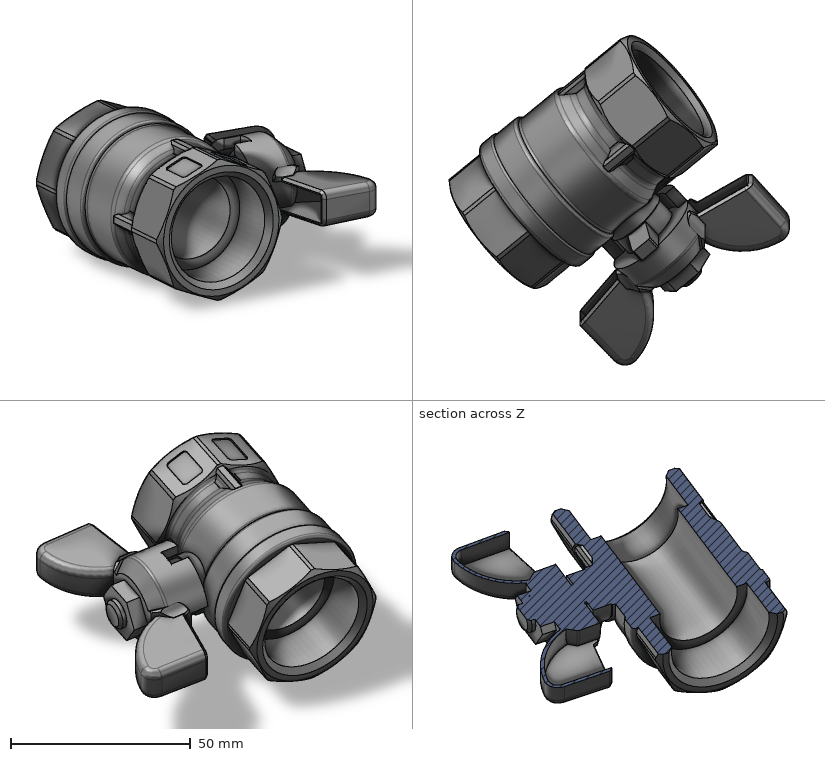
import cadquery as cq
import math


TOTAL_HEIGHT = 74.85

HALF_LENGTH = 65.5 / 2
BODY_R = 20.2
NECK_R = 17.9
OCTAGON_SIDES = 8
OCTAGON_CORNER_R = 20.5
OCTAGON_APOTHEM = 19.15
END_FACE_R = 18.85
END_CHAMFER = 1.1
COLLAR_R = 43.5 / 2
COLLAR_START = -19.9
COLLAR_END = -14.45
COLLAR_LEFT_ROUND = 1.05
COLLAR_RIGHT_ROUND = 0.7
SHOULDER_R = 21.25
SHOULDER_END = -7.2
BODY_START = -5.25
BODY_END = 7.0
NECK_START = 12.7
NECK_END = 15.65
SHOULDER_ROUND_MID = (-6.65, 21.1)
SHOULDER_ROUND_END = (-6.3, 20.7)
SHOULDER_FOOT_START = (-6.1, 20.4)
SHOULDER_FOOT_MID = (-5.7, 20.3)
NECK_ROUND_MID = (7.8, 20.05)
NECK_CONE_START = (8.4, 19.75)
NECK_CONE_END = (11.0, 18.4)
NECK_LEFT_MID = (11.8, 18.05)
NECK_RIGHT_MID = (16.6, 18.3)
RIGHT_OCTAGON_START = 17.0
RIGHT_OCTAGON_FULL = 18.6

BORE_R = 12.1
THREAD_R = 15.3
THREAD_MOUTH_R = 17.0
THREAD_MOUTH_DEPTH = 1.7
THREAD_DEPTH = 14.9

RIB_TOP_R = 20.0
RIB_TOP_HALF = 1.0
RIB_EDGE_HALF = 1.8
RIB_EDGE_R = 19.15
RIB_FOOT_HALF = 3.3
RIB_FOOT_R = 17.6
RIB_FOOT_MID = (2.25, 18.05)
RIB_START = 8.2
RIB_COUNT = 4

PAD_LENGTH = 10.1
PAD_WIDTH = 6.8
PAD_DEPTH = 0.45
PAD_CORNER_R = 1.1
PAD_CENTER_X = 24.9

BOSS_R = 8.75
BOSS_TOP = 22.15
STEM_R = 8.2
STEM_TOP = 27.9
SPINDLE_R = 4.5
LUG_WIDTH = 6.4
LUG_REACH = 16.85
LUG_BOTTOM = 22.45
LUG_TIP_BOTTOM = 24.4
LUG_TIP_CHAMFER = 0.45

HUB_R = 13.6
HUB_INNER_R = 10.5
HUB_BOTTOM = 23.0
HUB_FLOOR = 28.45
HUB_CONE_START = 35.3
HUB_TOP = 39.5
HUB_TOP_R = 10.1
HUB_EDGE_R = 1.2
NOTCH_WIDTH = 5.55
CUTAWAY_TOP_Z = 3.0

WING_TIP_X = 31.95
WING_TIP_TOP_X = 31.65
WING_TIP_BOTTOM = 34.1
WING_AXIS_BOTTOM = 28.6
WING_TOP = TOTAL_HEIGHT - COLLAR_R
WING_CORNER_R = 4.05
WING_ARC_R = 21.3
WING_ARC_CENTER_X = 30.5
WING_ARC_MID_ANGLE = math.radians(50)
WING_ARC_START_Y = 35.9
WING_CORNER_X = WING_TIP_TOP_X - WING_CORNER_R
WING_ARC_CENTER = (
    WING_ARC_CENTER_X,
    WING_TOP - WING_CORNER_R
    - math.sqrt((WING_ARC_R - WING_CORNER_R) ** 2 - (WING_ARC_CENTER_X - WING_CORNER_X) ** 2),
)
WING_BASE_HALF = 5.4
WING_TOP_HALF = 5.0
WING_EDGE_R = 2.25
WING_RIM_CHAMFER = 0.8
WING_WALL = 1.2
WING_CUT_MARGIN = 3.75
WING_BOTTOM_SLOPE = (WING_TIP_BOTTOM - WING_AXIS_BOTTOM) / WING_TIP_X

FLARE_R = 4.1
FLARE_WING_X = 14.5
FLARE_HALF = 7.7
FLARE_WING_TOP = 34.8
FLARE_TOP_HALF = 6.0
FLARE_WIDE_BOTTOM = 32.9
FLARE_KNEE = (30.55, 6.6)
FLARE_BOTTOM = 29.1
FLARE_BOTTOM_HALF = 4.5

NUT_CORNER_R = 8.3
NUT_TOP = 43.85
STUD_R = 4.3
STUD_TOP = 45.95
STUD_CHAMFER = 0.9


def turned_x(points):
    """Solid turned about X from (x, radius) points, closed down to the axis."""
    outline = [(points[0][0], 0)] + points + [(points[-1][0], 0)]
    return cq.Workplane("XY").polyline(outline).close().revolve(360, (0, 0, 0), (1, 0, 0))


def cylinder_y(radius, bottom, top):
    return cq.Workplane("XZ", origin=(0, bottom, 0)).circle(radius).extrude(bottom - top)


def octagon(start, end):
    corner_diameter = 2 * OCTAGON_APOTHEM / math.cos(math.pi / OCTAGON_SIDES)
    return cq.Workplane("YZ", origin=(start, 0, 0)).polygon(OCTAGON_SIDES, corner_diameter).extrude(end - start)


def body_shell():
    """Octagon ends, collar and turned middle of the pipe body, still without the bore."""
    left = turned_x([
        (-HALF_LENGTH, END_FACE_R),
        (-HALF_LENGTH + END_CHAMFER, OCTAGON_CORNER_R),
        (COLLAR_START, OCTAGON_CORNER_R),
    ]).intersect(octagon(-HALF_LENGTH, COLLAR_START))
    right = turned_x([
        (RIGHT_OCTAGON_START, NECK_R),
        (RIGHT_OCTAGON_START, END_FACE_R),
        (RIGHT_OCTAGON_FULL, OCTAGON_CORNER_R),
        (HALF_LENGTH - END_CHAMFER, OCTAGON_CORNER_R),
        (HALF_LENGTH, END_FACE_R),
    ]).intersect(octagon(RIGHT_OCTAGON_START, HALF_LENGTH))
    collar = turned_x([(COLLAR_START, COLLAR_R), (COLLAR_END, COLLAR_R)])
    collar = collar.faces("<X").edges().fillet(COLLAR_LEFT_ROUND)
    collar = collar.faces(">X").edges().fillet(COLLAR_RIGHT_ROUND)
    middle_start = (COLLAR_START + COLLAR_END) / 2
    middle = (
        cq.Workplane("XY")
        .moveTo(middle_start, 0)
        .lineTo(middle_start, SHOULDER_R)
        .lineTo(SHOULDER_END, SHOULDER_R)
        .threePointArc(SHOULDER_ROUND_MID, SHOULDER_ROUND_END)
        .lineTo(*SHOULDER_FOOT_START)
        .threePointArc(SHOULDER_FOOT_MID, (BODY_START, BODY_R))
        .lineTo(BODY_END, BODY_R)
        .threePointArc(NECK_ROUND_MID, NECK_CONE_START)
        .lineTo(*NECK_CONE_END)
        .threePointArc(NECK_LEFT_MID, (NECK_START, NECK_R))
        .lineTo(NECK_END, NECK_R)
        .threePointArc(NECK_RIGHT_MID, (RIGHT_OCTAGON_START, END_FACE_R))
        .lineTo(RIGHT_OCTAGON_START, 0)
        .close()
        .revolve(360, (0, 0, 0), (1, 0, 0))
    )
    return left.union(collar).union(middle).union(right)


def ribs():
    """Ribs along X that bridge the neck, each with bevelled edges and a concave foot."""
    rib = (
        cq.Workplane("YZ", origin=(RIB_START, 0, 0))
        .moveTo(0, 0)
        .lineTo(RIB_FOOT_HALF, RIB_FOOT_R)
        .threePointArc(RIB_FOOT_MID, (RIB_EDGE_HALF, RIB_EDGE_R))
        .lineTo(RIB_TOP_HALF, RIB_TOP_R)
        .lineTo(-RIB_TOP_HALF, RIB_TOP_R)
        .lineTo(-RIB_EDGE_HALF, RIB_EDGE_R)
        .threePointArc((-RIB_FOOT_MID[0], RIB_FOOT_MID[1]), (-RIB_FOOT_HALF, RIB_FOOT_R))
        .close()
        .extrude(RIGHT_OCTAGON_FULL - RIB_START)
    )
    group = rib
    for i in range(1, RIB_COUNT):
        group = group.union(rib.rotate((0, 0, 0), (1, 0, 0), i * 360 / RIB_COUNT))
    return group


def pads():
    """Shallow label recesses on the two octagon flats that face +Z."""
    pad = (
        cq.Workplane("XY", origin=(PAD_CENTER_X, 0, OCTAGON_APOTHEM - PAD_DEPTH))
        .rect(PAD_LENGTH, PAD_WIDTH)
        .extrude(2 * PAD_DEPTH)
        .edges("|Z")
        .fillet(PAD_CORNER_R)
    )
    axis = ((0, 0, 0), (1, 0, 0))
    tilt = 180 / OCTAGON_SIDES
    return pad.rotate(*axis, tilt).union(pad.rotate(*axis, -tilt))


def bore():
    """Through bore with a wider thread bore and a conical mouth at both ends."""
    mouth = HALF_LENGTH - THREAD_MOUTH_DEPTH
    seat = HALF_LENGTH - THREAD_DEPTH
    return turned_x([
        (-HALF_LENGTH, THREAD_MOUTH_R),
        (-mouth, THREAD_R),
        (-seat, THREAD_R),
        (-seat, BORE_R),
        (seat, BORE_R),
        (seat, THREAD_R),
        (mouth, THREAD_R),
        (HALF_LENGTH, THREAD_MOUTH_R),
    ])


def stem():
    """Stem boss, the stem with its stop lug towards -Z, and the spindle up to the nut."""
    lug = (
        cq.Workplane("YZ")
        .polyline([
            (STEM_TOP, 0),
            (STEM_TOP, -LUG_REACH),
            (LUG_TIP_BOTTOM, -LUG_REACH),
            (LUG_BOTTOM, -STEM_R),
            (LUG_BOTTOM, 0),
        ])
        .close()
        .extrude(LUG_WIDTH / 2, both=True)
        .faces("<Z")
        .edges("|Y")
        .chamfer(LUG_TIP_CHAMFER)
    )
    return (
        cylinder_y(BOSS_R, 0, BOSS_TOP)
        .union(cylinder_y(STEM_R, 0, STEM_TOP))
        .union(cylinder_y(SPINDLE_R, 0, HUB_TOP))
        .union(lug)
    )


def wing_outline(inset, bottom_drop):
    """Flat blade of the right-hand wing, shrunk by inset except at its bottom edge."""
    tip_x = WING_TIP_X - inset
    arc_r = WING_ARC_R - inset
    tip_top_x = WING_TIP_TOP_X - inset
    arc_end_y = WING_ARC_CENTER[1] + math.sqrt(arc_r**2 - (tip_top_x - WING_ARC_CENTER[0]) ** 2)
    arc_start_y = WING_ARC_START_Y - inset
    arc_start_x = WING_ARC_CENTER[0] - math.sqrt(arc_r**2 - (arc_start_y - WING_ARC_CENTER[1]) ** 2)
    arc_mid = (
        WING_ARC_CENTER[0] - arc_r * math.cos(WING_ARC_MID_ANGLE),
        WING_ARC_CENTER[1] + arc_r * math.sin(WING_ARC_MID_ANGLE),
    )
    return (
        cq.Workplane("XY")
        .moveTo(0, WING_AXIS_BOTTOM - bottom_drop)
        .lineTo(tip_x, WING_TIP_BOTTOM - bottom_drop)
        .lineTo(tip_top_x, arc_end_y)
        .threePointArc(arc_mid, (arc_start_x, arc_start_y))
        .lineTo(0, arc_start_y)
        .close()
        .extrude(WING_BASE_HALF * 2, both=True)
        .edges(cq.selectors.NearestToPointSelector((tip_top_x, arc_end_y, 0)))
        .fillet(WING_CORNER_R - inset)
    )


def wing_taper(inset):
    """Wedge along +X that gives the wing its draft towards the top."""
    base = WING_BASE_HALF - inset
    top = WING_TOP_HALF - inset
    below = WING_AXIS_BOTTOM - WING_CUT_MARGIN
    above = WING_TOP + WING_CUT_MARGIN
    return (
        cq.Workplane("YZ")
        .polyline([(below, -base), (above, -top), (above, top), (below, base)])
        .close()
        .extrude(WING_TIP_X)
    )


def solid_wing():
    blade = wing_outline(0, 0).intersect(wing_taper(0))
    above_bottom = cq.selectors.BoxSelector(
        (WING_ARC_CENTER[0] - WING_ARC_R, WING_TIP_BOTTOM + WING_RIM_CHAMFER, -2 * WING_BASE_HALF),
        (2 * WING_TIP_X, 2 * WING_TOP, 2 * WING_BASE_HALF),
    )
    sides = blade.faces("<Z or >Z").edges(above_bottom)
    return sides.fillet(WING_EDGE_R).faces("<Y").chamfer(WING_RIM_CHAMFER)


def wing_pocket():
    """Hollow of the wing, open at the bottom; the hub closes its inner end."""
    return wing_outline(WING_WALL, WING_CUT_MARGIN).intersect(wing_taper(WING_WALL))


def both_sides(right_half):
    return right_half.union(right_half.mirror("YZ"))


def hub():
    """Handle hub with a conical top, the edge below the cone rounded."""
    return (
        cq.Workplane("XY")
        .polyline([
            (0, HUB_BOTTOM),
            (HUB_R, HUB_BOTTOM),
            (HUB_R, HUB_CONE_START),
            (HUB_TOP_R, HUB_TOP),
            (0, HUB_TOP),
        ])
        .close()
        .revolve(360, (0, 0, 0), (0, 1, 0))
        .edges(cq.selectors.NearestToPointSelector((0, HUB_CONE_START, 0)))
        .fillet(HUB_EDGE_R)
    )


def hub_cuts():
    """Round cavity, notch towards +Z and the cut-away lower side of the hub skirt."""
    height = HUB_FLOOR - HUB_BOTTOM
    notch = (
        cq.Workplane("XY")
        .box(NOTCH_WIDTH, height, HUB_R, centered=(True, False, False))
        .translate((0, HUB_BOTTOM, 0))
    )
    cutaway = (
        cq.Workplane("XY")
        .box(2 * HUB_R, height, 2 * HUB_R, centered=(True, False, False))
        .translate((0, HUB_BOTTOM, CUTAWAY_TOP_Z - 2 * HUB_R))
    )
    return cylinder_y(HUB_INNER_R, HUB_BOTTOM, HUB_FLOOR).union(notch).union(cutaway)


def wing_flare():
    """Concave blend that widens the wing where it meets the hub, clipped to the hub's height."""
    center_z = WING_BASE_HALF + FLARE_R
    center_x = math.sqrt((HUB_R + FLARE_R) ** 2 - center_z**2)
    height = HUB_TOP - FLARE_BOTTOM
    plan = (
        cq.Workplane("XZ", origin=(0, HUB_TOP, 0))
        .polyline([(0, 0), (center_x, -center_z), (center_x, center_z)])
        .close()
        .extrude(height)
    )
    hollows = (
        cq.Workplane("XZ", origin=(0, HUB_TOP, 0))
        .pushPoints([(center_x, -center_z), (center_x, center_z)])
        .circle(FLARE_R)
        .extrude(height)
    )
    elevation = (
        cq.Workplane("XY")
        .polyline([
            (0, FLARE_BOTTOM),
            (HUB_R, FLARE_BOTTOM),
            (FLARE_WING_X, WING_AXIS_BOTTOM + FLARE_WING_X * WING_BOTTOM_SLOPE),
            (FLARE_WING_X, FLARE_WING_TOP),
            (HUB_TOP_R, HUB_TOP),
            (0, HUB_TOP),
        ])
        .close()
        .extrude(2 * FLARE_HALF, both=True)
    )
    half_side = [
        (HUB_TOP, FLARE_TOP_HALF),
        (HUB_CONE_START, FLARE_HALF),
        (FLARE_WIDE_BOTTOM, FLARE_HALF),
    ]
    side = (
        cq.Workplane("YZ")
        .polyline([(y, -z) for y, z in half_side])
        .threePointArc((FLARE_KNEE[0], -FLARE_KNEE[1]), (FLARE_BOTTOM, -FLARE_BOTTOM_HALF))
        .lineTo(FLARE_BOTTOM, FLARE_BOTTOM_HALF)
        .threePointArc(FLARE_KNEE, half_side[-1])
        .lineTo(*half_side[1])
        .lineTo(*half_side[0])
        .close()
        .extrude(FLARE_WING_X)
    )
    return plan.cut(hollows).intersect(elevation).intersect(side)


def handle():
    hollow_wing = solid_wing().union(wing_flare()).cut(wing_pocket())
    return hub().union(both_sides(hollow_wing)).cut(hub_cuts())


def nut_and_stud():
    nut = (
        cq.Workplane("XZ", origin=(0, HUB_TOP, 0))
        .polygon(6, 2 * NUT_CORNER_R)
        .extrude(HUB_TOP - NUT_TOP)
    )
    stud = cylinder_y(STUD_R, HUB_TOP, STUD_TOP).faces(">Y").chamfer(STUD_CHAMFER)
    return nut.union(stud)


body = body_shell().union(ribs()).union(stem()).cut(bore()).cut(pads())
result = body.union(handle()).union(nut_and_stud())